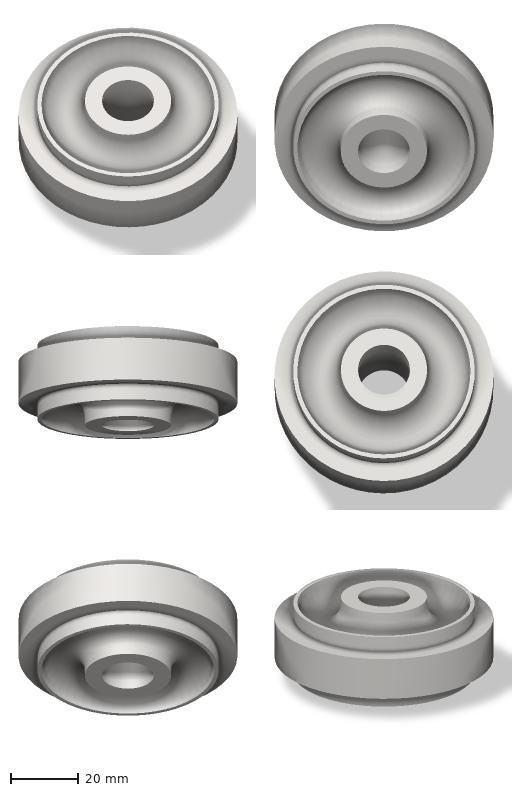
import math

import cadquery as cq

tread_diameter = 65.1
tread_width = 12.75
rim_diameter = 53.95
rim_width = 22.3
hub_length = 26.15
bore_diameter = 15.4

recess_floor_diameter = 38.6
recess_floor_width = 0.2
recess_fillet = 6.3
recess_depth = 6.9
draft_angle = math.radians(2.0)

tread_radius = tread_diameter / 2
rim_radius = rim_diameter / 2
bore_radius = bore_diameter / 2
tread_top = tread_width / 2
rim_top = rim_width / 2
hub_top = hub_length / 2

recess_floor = rim_top - recess_depth
fillet_height = recess_floor + recess_fillet
inner_fillet_radius = (recess_floor_diameter - recess_floor_width) / 2
outer_fillet_radius = (recess_floor_diameter + recess_floor_width) / 2
wall_offset = recess_fillet * math.cos(draft_angle)
wall_foot = fillet_height + recess_fillet * math.sin(draft_angle)
hub_foot_radius = inner_fillet_radius - wall_offset
rim_foot_radius = outer_fillet_radius + wall_offset
hub_top_radius = hub_foot_radius - (hub_top - wall_foot) * math.tan(draft_angle)
rim_top_inner_radius = rim_foot_radius + (rim_top - wall_foot) * math.tan(draft_angle)

middle_angle = (math.pi / 2 - draft_angle) / 2
middle_offset = recess_fillet * math.sin(middle_angle)
middle_height = fillet_height - recess_fillet * math.cos(middle_angle)


def wheel_section():
    """Radial section of the wheel, drawn from the upper hub face round to the bore."""
    return (
        cq.Workplane("XZ")
        .moveTo(bore_radius, hub_top)
        .lineTo(hub_top_radius, hub_top)
        .lineTo(hub_foot_radius, wall_foot)
        .threePointArc(
            (inner_fillet_radius - middle_offset, middle_height),
            (inner_fillet_radius, recess_floor),
        )
        .lineTo(outer_fillet_radius, recess_floor)
        .threePointArc(
            (outer_fillet_radius + middle_offset, middle_height),
            (rim_foot_radius, wall_foot),
        )
        .lineTo(rim_top_inner_radius, rim_top)
        .lineTo(rim_radius, rim_top)
        .lineTo(rim_radius, tread_top)
        .lineTo(tread_radius, tread_top)
        .lineTo(tread_radius, -tread_top)
        .lineTo(rim_radius, -tread_top)
        .lineTo(rim_radius, -rim_top)
        .lineTo(rim_top_inner_radius, -rim_top)
        .lineTo(rim_foot_radius, -wall_foot)
        .threePointArc(
            (outer_fillet_radius + middle_offset, -middle_height),
            (outer_fillet_radius, -recess_floor),
        )
        .lineTo(inner_fillet_radius, -recess_floor)
        .threePointArc(
            (inner_fillet_radius - middle_offset, -middle_height),
            (hub_foot_radius, -wall_foot),
        )
        .lineTo(hub_top_radius, -hub_top)
        .lineTo(bore_radius, -hub_top)
        .close()
    )


result = wheel_section().revolve(360, (0, 0, 0), (0, 1, 0))